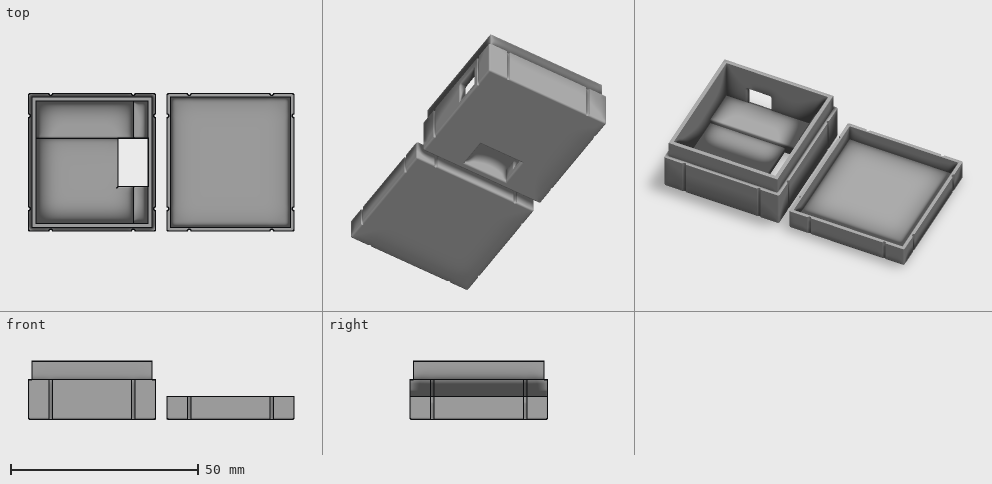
import cadquery as cq
overall_length = 71.0
width = 34.0
depth = 36.8
gap = overall_length - 2 * width
corner_radius = 0.5
groove_radius = 0.5
groove_corner_distance = 5.95
lip_inset = 0.9
lip_width = width - 2 * lip_inset
lip_depth = depth - 2 * lip_inset

overshoot = 0.7

seam_turn = 45

margin = 0.1

overall_height = 15.6
lip_height = 5.0
shoulder_height = overall_height - lip_height
floor_thickness = 2.0
lid_floor_thickness = 1.2
lid_height = lip_height + lid_floor_thickness

cavity_inset = 2.0
cavity_width = width - 2 * cavity_inset
cavity_depth = depth - 2 * cavity_inset
cavity_right = cavity_width / 2
cavity_back = cavity_depth / 2
cavity_front = -cavity_back

opening_width = 8.0
opening_depth = 12.85
opening_left = cavity_right - opening_width
opening_back = 6.4
opening_front = opening_back - opening_depth

edge_radius = 0.5
platform_height = 3.35
block_width = 4.0
block_left = cavity_right - block_width
back_block_height = 7.45
front_block_height = 5.0

window_right = -1.9
window_width = 7.1
window_left = window_right - window_width
window_top = 8.4

box_x = -(width + gap) / 2
lid_x = (width + gap) / 2


def box_between(x_range, y_range, z_range):
    """Rectangular block between pairs of coordinates."""
    x0, x1 = x_range
    y0, y1 = y_range
    z0, z1 = z_range
    return cq.Workplane("XY").box(x1 - x0, y1 - y0, z1 - z0, centered=False).translate((x0, y0, z0))


def centred_block(block_x, block_y, bottom, top):
    """Rectangular block centred on the Z axis."""
    return cq.Workplane("XY").workplane(offset=bottom).rect(block_x, block_y).extrude(top - bottom)


def make_groove(x, y, height):
    """Vertical round cutter that overshoots both ends of the wall."""
    groove = cq.Workplane("XY").circle(groove_radius).extrude(height + 2 * overshoot)
    return groove.rotate((0, 0, 0), (0, 0, 1), seam_turn).translate((x, y, -overshoot))


def grooved_shell(height):
    """Solid tray blank with rounded edges and two grooves on each side."""
    blank = centred_block(width, depth, 0, height)
    blank = blank.edges("|Z or <Z").fillet(corner_radius)
    groove_x = width / 2 - groove_corner_distance
    groove_y = depth / 2 - groove_corner_distance
    for side_x in (-1, 1):
        for side_y in (-1, 1):
            blank = blank.cut(make_groove(side_x * groove_x, side_y * depth / 2, height))
            blank = blank.cut(make_groove(side_x * width / 2, side_y * groove_y, height))
    return blank


def make_platform():
    """Low step along the back wall, rounded along its front edge."""
    platform = box_between(
        (-cavity_right, cavity_right), (opening_back, cavity_back), (floor_thickness, platform_height)
    )
    return platform.edges(">Z and <Y").fillet(edge_radius)


def make_back_block():
    """Tall block in the back right corner, rounded on its exposed edges."""
    block = box_between(
        (block_left, cavity_right), (opening_back, cavity_back), (floor_thickness, back_block_height)
    )
    return block.edges("(>Z and <X) or (>Z and <Y) or (<X and <Y)").fillet(edge_radius)


def make_front_block():
    """Lower block in the front right corner, rounded on its exposed edges."""
    block = box_between(
        (block_left, cavity_right), (cavity_front, opening_front), (edge_radius, front_block_height)
    )
    return block.edges("(>Z and <X) or (>Z and >Y) or (<X and >Y)").fillet(edge_radius)


def round_edges_within(body, low, high):
    """Round every edge of the body whose midpoint lies inside the given region."""
    return body.edges(cq.selectors.BoxSelector(low, high)).fillet(edge_radius)


def cut_floor_opening(box):
    """Cut the floor opening and round its bottom rim and the left and front of its top rim."""
    opening = box_between(
        (opening_left, cavity_right), (opening_front, opening_back), (-overshoot, floor_thickness)
    )
    box = box.cut(opening)
    box = round_edges_within(
        box,
        (opening_left - margin, opening_front - margin, -margin),
        (cavity_right + margin, opening_back + margin, margin),
    )
    return round_edges_within(
        box,
        (opening_left - margin, opening_front - margin, floor_thickness - margin),
        (cavity_right - margin, opening_back - margin, floor_thickness + margin),
    )


def cut_window(box):
    """Cut the window through the back wall, level with the floor, and round its inner and outer rims."""
    window = box_between(
        (window_left, window_right),
        (cavity_back, depth / 2 + overshoot),
        (floor_thickness, window_top),
    )
    box = box.cut(window.edges("|Y and >Z").fillet(edge_radius))
    for wall_y in (cavity_back, depth / 2):
        box = round_edges_within(
            box,
            (window_left - margin, wall_y - margin, floor_thickness - margin),
            (window_right + margin, wall_y + margin, window_top + margin),
        )
    return box


def make_box():
    """Box with a raised lip; the window is cut first, so the platform stands in front of its lower part."""
    box = grooved_shell(shoulder_height)
    lip = centred_block(lip_width, lip_depth, floor_thickness, overall_height)
    cavity = centred_block(cavity_width, cavity_depth, floor_thickness, overall_height)
    box = box.union(lip).cut(cavity)
    box = cut_window(box)
    box = box.union(make_platform())
    box = cut_floor_opening(box)
    return box.union(make_back_block()).union(make_front_block())


def make_lid():
    """Shallow lid whose recess takes the lip of the box."""
    recess = centred_block(lip_width, lip_depth, lid_floor_thickness, lid_height)
    return grooved_shell(lid_height).cut(recess)


box = make_box().translate((box_x, 0, 0))
lid = make_lid().translate((lid_x, 0, 0))

result = cq.Compound.makeCompound([box.val(), lid.val()])